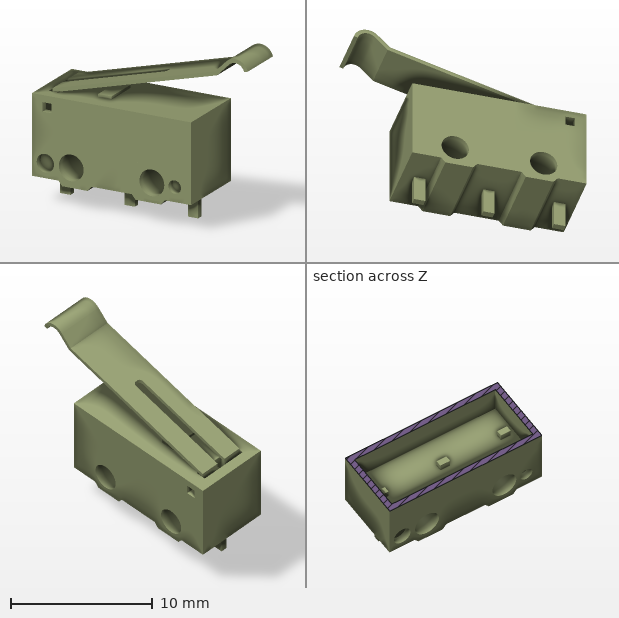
import cadquery as cq
import math

CASE_LENGTH = 12.8
CASE_WIDTH = 5.8
CASE_HEIGHT = 6.2
MID_X = CASE_LENGTH / 2
FRONT_Y = -CASE_WIDTH / 2
BASE_HEIGHT = 2.47
WALL = 0.5
ROOF = 0.54
CEILING_Z = CASE_HEIGHT - ROOF

TAB_WIDTH = 3.47
TAB_BOTTOM_Z = 0.39
CATCH_WIDTH = 1.31
CATCH_HEIGHT = 0.5
CATCH_Z = 1.51

FOOT_OFFSET = 2.95
FOOT_TOP_WIDTH = 2.65
FOOT_BOTTOM_WIDTH = 2.03
FOOT_HEIGHT = 0.37
HOLE_Z = 1.12
MOUNT_DIAMETER = 2.0
MOUNT_SPACING = 6.5
LARGE_PIT_DIAMETER = 1.4
LARGE_PIT_X = 1.07
PIT_DEPTH = 0.59
SMALL_PIT_DIAMETER = 1.0

TERMINAL_THICKNESS = 0.49
TERMINAL_DROP = 1.98
TERMINAL_TOP_Z = BASE_HEIGHT + WALL
TERMINAL_WIDTH = 0.82
TERMINAL_PITCH = 5.08
SIDE_TERMINAL_X = MID_X + TERMINAL_PITCH
HINGE_TERMINAL_X = 1.2
HINGE_TERMINAL_WIDTH = 0.85
BEVEL_LENGTH = 0.13
BEVEL_HEIGHT = 0.15

LEVER_WIDTH = 3.69
LEVER_THICKNESS = 0.3
LEVER_ANGLE = math.radians(15)
RAMP_ANGLE = math.radians(45)
LEG_X = 1.07
LEG_TOP_Z = 6.41
CURL_RADIUS = 1.04
CURL_X = 16.78 - CURL_RADIUS * math.cos(LEVER_ANGLE)
CURL_Z = 10.07
LEVER_SLOT_WIDTH = 0.69
LEVER_SLOT_END_X = 9.43
LEVER_SLOT_CORNER = 0.25

HINGE_X = 1.2
HINGE_SLOT_LENGTH = 0.8
HINGE_SLOT_WIDTH = 3.81
HINGE_WINDOW_SIZE = 0.7
HINGE_WINDOW_BOTTOM_Z = CEILING_Z - HINGE_WINDOW_SIZE

PLUNGER_X = 5.03
PLUNGER_LENGTH = 1.07
PLUNGER_WIDTH = 2.79
PLUNGER_TOP_Z = 6.43


def block(length, width, x, y, bottom_z, top_z):
    """Box centred on x and y, between two heights."""
    box = cq.Workplane("XY").box(length, width, top_z - bottom_z, centered=(True, True, False))
    return box.translate((x, y, bottom_z))


def bore(diameter, x, depth):
    """Round cutter that runs from the front face into the case."""
    return cq.Workplane("XZ", origin=(x, FRONT_Y, HOLE_Z)).circle(diameter / 2).extrude(-depth)


def snap_tabs():
    """One tab in the front wall and one in the back wall, each with its catch window."""
    tabs = cq.Workplane("XY")
    for side in (-1, 1):
        y = side * (CASE_WIDTH - WALL) / 2
        tab = block(TAB_WIDTH, WALL, MID_X, y, TAB_BOTTOM_Z, BASE_HEIGHT)
        catch = block(CATCH_WIDTH, WALL, MID_X, y, CATCH_Z - CATCH_HEIGHT / 2, CATCH_Z + CATCH_HEIGHT / 2)
        tabs = tabs.add(tab.cut(catch))
    return tabs.combine()


def terminal(x, width):
    """Flat blade that stands upright through the base."""
    return block(width, TERMINAL_THICKNESS, x, 0, -TERMINAL_DROP, TERMINAL_TOP_Z)


def hinge_terminal():
    """Wider blade with a bevel on its upper left edge."""
    left_x = HINGE_TERMINAL_X - HINGE_TERMINAL_WIDTH / 2
    bevel = (
        cq.Workplane("XZ")
        .moveTo(left_x, TERMINAL_TOP_Z)
        .lineTo(left_x + BEVEL_LENGTH, TERMINAL_TOP_Z)
        .lineTo(left_x, TERMINAL_TOP_Z - BEVEL_HEIGHT)
        .close()
        .extrude(TERMINAL_THICKNESS / 2, both=True)
    )
    return terminal(HINGE_TERMINAL_X, HINGE_TERMINAL_WIDTH).cut(bevel)


def plunger_body():
    """Button that passes through the roof of the cover."""
    return block(PLUNGER_LENGTH, PLUNGER_WIDTH, PLUNGER_X, 0, CEILING_Z, PLUNGER_TOP_Z)


def cover_body(plunger):
    """Hollow shell, open below, with snap tabs, a lever slot and hinge windows under the ceiling."""
    shell = block(CASE_LENGTH, CASE_WIDTH, MID_X, 0, BASE_HEIGHT, CASE_HEIGHT)
    cavity = block(CASE_LENGTH - 2 * WALL, CASE_WIDTH - 2 * WALL, MID_X, 0, BASE_HEIGHT, CEILING_Z)
    hinge_slot = block(HINGE_SLOT_LENGTH, HINGE_SLOT_WIDTH, HINGE_X, 0, CEILING_Z, CASE_HEIGHT)
    hinge_windows = block(HINGE_WINDOW_SIZE, CASE_WIDTH, HINGE_X, 0, HINGE_WINDOW_BOTTOM_Z, CEILING_Z)
    return shell.cut(cavity).union(snap_tabs()).cut(hinge_slot).cut(hinge_windows).cut(plunger)


def base_body(terminals):
    """Solid base with two feet, recesses for the tabs, and round holes."""
    base = block(CASE_LENGTH, CASE_WIDTH, MID_X, 0, 0, BASE_HEIGHT)
    for side in (-1, 1):
        foot_x = MID_X + side * FOOT_OFFSET
        foot = (
            cq.Workplane("XZ")
            .moveTo(foot_x - FOOT_TOP_WIDTH / 2, 0)
            .lineTo(foot_x - FOOT_BOTTOM_WIDTH / 2, -FOOT_HEIGHT)
            .lineTo(foot_x + FOOT_BOTTOM_WIDTH / 2, -FOOT_HEIGHT)
            .lineTo(foot_x + FOOT_TOP_WIDTH / 2, 0)
            .close()
            .extrude(CASE_WIDTH / 2, both=True)
        )
        base = base.union(foot)
    base = base.cut(snap_tabs())
    for side in (-1, 1):
        base = base.cut(bore(MOUNT_DIAMETER, MID_X + side * MOUNT_SPACING / 2, CASE_WIDTH))
    base = base.cut(bore(LARGE_PIT_DIAMETER, LARGE_PIT_X, PIT_DEPTH))
    base = base.cut(bore(SMALL_PIT_DIAMETER, SIDE_TERMINAL_X, PIT_DEPTH))
    for blade in terminals:
        base = base.cut(blade)
    return base


def inner_corner(outer, angle_before, angle_after):
    """Point on the lower face of the strip that faces a bend of its upper face."""
    bisector = (angle_before + angle_after) / 2
    reach = LEVER_THICKNESS / math.cos((angle_after - angle_before) / 2)
    return (outer[0] + reach * math.sin(bisector), outer[1] - reach * math.cos(bisector))


def curl_point(radius, angle):
    """Point at an angle on a circle about the centre of the curl."""
    return (CURL_X + radius * math.cos(angle), CURL_Z + radius * math.sin(angle))


def lever_body():
    """Bent strip: upright leg, sloping arm, steeper ramp and a curled tip, slotted from the leg."""
    upright = math.pi / 2
    curl_start = RAMP_ANGLE + upright
    curl_end = LEVER_ANGLE
    curl_middle = (curl_start + curl_end) / 2
    inner_radius = CURL_RADIUS - LEVER_THICKNESS

    leg_corner = (LEG_X, LEG_TOP_Z)
    ramp_top = curl_point(CURL_RADIUS, curl_start)
    arm_slope = math.tan(LEVER_ANGLE)
    ramp_slope = math.tan(RAMP_ANGLE)
    ramp_x = (LEG_TOP_Z - arm_slope * LEG_X - ramp_top[1] + ramp_slope * ramp_top[0]) / (ramp_slope - arm_slope)
    ramp_corner = (ramp_x, LEG_TOP_Z + arm_slope * (ramp_x - LEG_X))

    strip = (
        cq.Workplane("XZ")
        .moveTo(LEG_X, HINGE_WINDOW_BOTTOM_Z)
        .lineTo(*leg_corner)
        .lineTo(*ramp_corner)
        .lineTo(*ramp_top)
        .threePointArc(curl_point(CURL_RADIUS, curl_middle), curl_point(CURL_RADIUS, curl_end))
        .lineTo(*curl_point(inner_radius, curl_end))
        .threePointArc(curl_point(inner_radius, curl_middle), curl_point(inner_radius, curl_start))
        .lineTo(*inner_corner(ramp_corner, LEVER_ANGLE, RAMP_ANGLE))
        .lineTo(*inner_corner(leg_corner, upright, LEVER_ANGLE))
        .lineTo(LEG_X + LEVER_THICKNESS, HINGE_WINDOW_BOTTOM_Z)
        .close()
        .extrude(LEVER_WIDTH / 2, both=True)
    )
    slot = (
        block(LEVER_SLOT_END_X, LEVER_SLOT_WIDTH, LEVER_SLOT_END_X / 2, 0, HINGE_WINDOW_BOTTOM_Z, CURL_Z)
        .edges("|Z and >X")
        .fillet(LEVER_SLOT_CORNER)
    )
    return strip.cut(slot)


side_terminals = [terminal(x, TERMINAL_WIDTH) for x in (MID_X, SIDE_TERMINAL_X)]
terminals = [hinge_terminal(), *side_terminals]
plunger = plunger_body()
cover = cover_body(plunger)
base = base_body(terminals)
lever = lever_body()

bodies = [cover, base, lever, plunger, *terminals]
result = cq.Compound.makeCompound([body.val() for body in bodies])